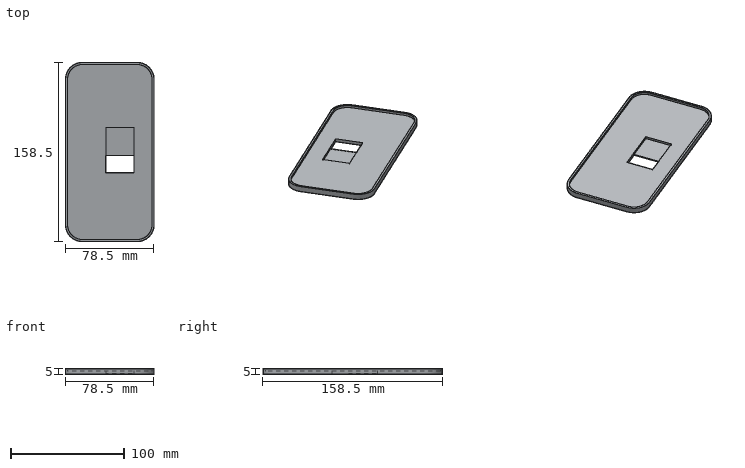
import cadquery as cq

length = 158.5
width = 78.5
height = 5.0
corner_radius = 15.0

rim_width = 1.9
tray_depth = 2.0

window_width = 24.9
window_length = 40.0
window_center_x = 8.9
window_center_y = 1.7
through_length = 15.0
pocket_depth = 2.0

tray_floor = height - tray_depth
pocket_floor = tray_floor - pocket_depth
window_front_y = window_center_y - window_length / 2


def rounded_plate(size_x, size_y, thickness, radius):
    """Plate centred in X and Y, standing on Z = 0, with rounded vertical corners."""
    plate = cq.Workplane("XY").box(size_x, size_y, thickness, centered=(True, True, False))
    return plate.edges("|Z").fillet(radius)


def window_cutter(size_y, bottom):
    """Block as wide as the window, from its -Y edge, reaching up from the given level."""
    block = cq.Workplane("XY").box(window_width, size_y, height, centered=(True, False, False))
    return block.translate((window_center_x, window_front_y, bottom))


body = rounded_plate(width, length, height, corner_radius)

tray = rounded_plate(
    width - 2 * rim_width,
    length - 2 * rim_width,
    tray_depth,
    corner_radius - rim_width,
).translate((0, 0, tray_floor))

pocket = window_cutter(window_length, pocket_floor)
opening = window_cutter(through_length, 0)

result = body.cut(tray).cut(pocket).cut(opening)